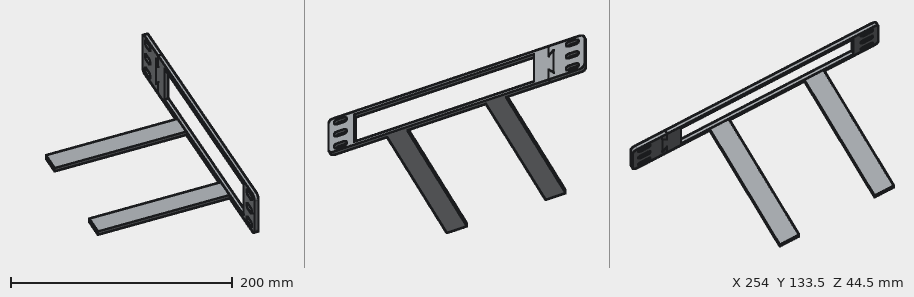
import cadquery as cq

plate_width = 254.0
plate_height = 44.5
plate_thickness = 4.0
corner_radius = 5.0

window_left = 50.0
window_width = 178.5
window_height = 36.0
rail_height = (plate_height - window_height) / 2

slot_length = 12.5
slot_height = 6.0
slot_pitch = 15.875
slot_inset = 12.0

joint_x = 35.5
dovetail_depth = 5.0
dovetail_root_width = 18.0
dovetail_tip_width = 30.0

overall_depth = 133.5
arm_width = 20.0
arm_thickness = plate_thickness
arm_length = overall_depth - plate_thickness
arm_lefts = (79.5, 177.5)

mid_height = plate_height / 2


def front_sketch():
    """Workplane on the plate's front face, with local x along X and local y along Z."""
    return cq.Workplane("XZ")


def extrude_plate(sketch):
    """Extrude a closed outline from the front face back through the plate, along +Y."""
    return sketch.extrude(-plate_thickness)


def make_plate():
    """Rounded face plate with its end slots, before it is parted at the joint."""
    blank = extrude_plate(front_sketch().rect(plate_width, plate_height, centered=False))
    blank = blank.edges("|Y").fillet(corner_radius)
    slot_centers = [
        (x, mid_height + row * slot_pitch)
        for x in (slot_inset, plate_width - slot_inset)
        for row in (-1, 0, 1)
    ]
    slots = extrude_plate(front_sketch().pushPoints(slot_centers).slot2D(slot_length, slot_height))
    return blank.cut(slots)


def make_ear_region():
    """Everything on the ear's side of the joint, with the dovetail socket left open."""
    tip_x = joint_x - dovetail_depth
    root_half = dovetail_root_width / 2
    tip_half = dovetail_tip_width / 2
    outline = [
        (0, 0),
        (joint_x, 0),
        (joint_x, mid_height - root_half),
        (tip_x, mid_height - tip_half),
        (tip_x, mid_height + tip_half),
        (joint_x, mid_height + root_half),
        (joint_x, plate_height),
        (0, plate_height),
    ]
    return extrude_plate(front_sketch().polyline(outline).close())


def make_ear():
    """Detachable mounting ear at the left end, with the dovetail socket."""
    return make_plate().intersect(make_ear_region())


def make_window():
    """Rectangular opening inside the frame."""
    sketch = front_sketch().moveTo(window_left, rail_height)
    return extrude_plate(sketch.rect(window_width, window_height, centered=False))


def make_arm(left):
    """Flat support arm reaching forward from the bottom rail."""
    return cq.Workplane("XY").box(arm_width, arm_length, arm_thickness, centered=False).translate(
        (left, -arm_length, 0)
    )


def make_frame():
    """Window frame with the dovetail tail, the right-hand slots and the support arms."""
    frame = make_plate().cut(make_ear_region()).cut(make_window())
    for left in arm_lefts:
        frame = frame.union(make_arm(left))
    return frame


ear = make_ear()
frame = make_frame()

result = cq.Compound.makeCompound([ear.val(), frame.val()])